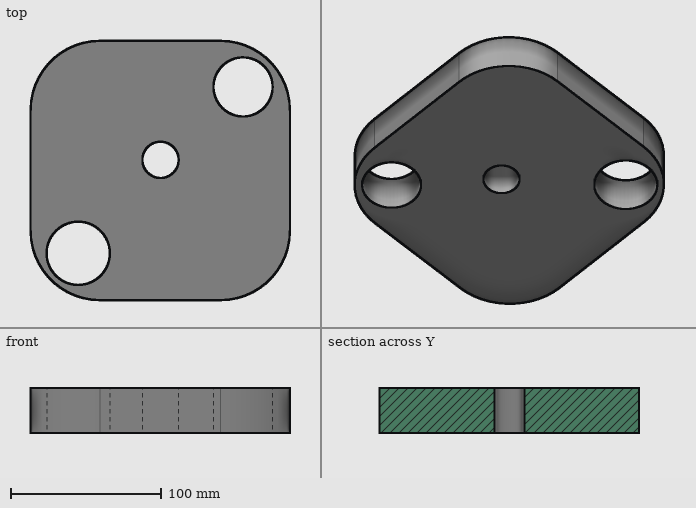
import cadquery as cq

side = 172.5
thickness = 30.0
corner_radius = 46.2

middle_hole_diameter = 24.0
middle_hole_position = (0.2, 7.0)
small_corner_hole_diameter = 39.2
small_corner_hole_position = (55.0, 55.5)
large_corner_hole_diameter = 42.0
large_corner_hole_position = (-54.5, -55.0)


def through_hole(position, diameter):
    """Cylinder that cuts the full thickness of the plate."""
    return cq.Workplane("XY").center(*position).circle(diameter / 2).extrude(thickness)


plate = (
    cq.Workplane("XY")
    .rect(side, side)
    .extrude(thickness)
    .edges("|Z")
    .fillet(corner_radius)
)

holes = [
    (middle_hole_position, middle_hole_diameter),
    (small_corner_hole_position, small_corner_hole_diameter),
    (large_corner_hole_position, large_corner_hole_diameter),
]

result = plate
for position, diameter in holes:
    result = result.cut(through_hole(position, diameter))